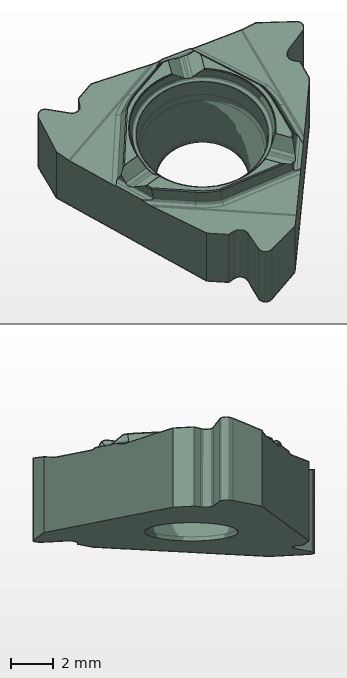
import cadquery as cq
import math

CORNER_ANGLES = (0, 120, 240)
REACH = 9.48

side_distance = 4.77
leading_flank_distance = 6.65
trailing_flank_distance = 0.61
trailing_flank_facing = 30
leading_flank_facing = 180 - trailing_flank_facing
tip_radius = 0.37
shoulder_height = 5.89
notch_radius = 0.42
notch_center_height = 5.95
notch_exit_angle = -45.0
shoulder_radius = 0.1

total_height = 4.1
floor_height = 3.51
crease_distance = 4.3
land_slope = 10.4
crease_radius = 0.37

edge_break = 0.04
wall_draft = 30.0
wall_foot_radius = 0.3
long_wall_distance = 3.72
skew_wall_distance = 3.6
skew_wall_turn = 32.0
end_wall_distance = 4.28
end_wall_turn = 90.0
end_wall_draft = 20.0
end_wall_foot_radius = 0.18
end_wall_floor_height = 3.59

groove_angle = 166.0
groove_floor_height = 3.63
groove_top_half_width = 0.79
groove_bottom_half_width = 0.14
groove_root_radius = 0.27
groove_start = 2.57

hole_radius = 2.2
recess_bottom_radius = 3.03
recess_bottom_height = 2.63
recess_top_radius = 3.1
seat_blend_radius = 0.54
seat_radius = 3.38
ledge_height = 3.55
ledge_fillet = 0.18
rim_root_radius = 3.32
rim_top_radius = 3.43


def polar(radius, angle, center=(0, 0)):
    """Point at a radius and an angle in degrees from a center."""
    turn = math.radians(angle)
    return (center[0] + radius * math.cos(turn), center[1] + radius * math.sin(turn))


def rotated(point, angle):
    """Point turned about the axis."""
    return polar(math.hypot(*point), math.degrees(math.atan2(point[1], point[0])) + angle)


def spin(shape, angle=0):
    """Three copies of a shape about Z, the first one turned by an angle."""
    copies = [shape.rotate((0, 0, 0), (0, 0, 1), angle + corner) for corner in CORNER_ANGLES]
    return copies[0].union(copies[1]).union(copies[2])


def corner_path():
    """Start point, then lines and arcs around one corner, clockwise."""
    flank_cos = math.cos(math.radians(trailing_flank_facing))
    flank_sin = math.sin(math.radians(trailing_flank_facing))

    flank_start = (-side_distance, (leading_flank_distance - side_distance * flank_cos) / flank_sin)
    apex_x = (trailing_flank_distance - leading_flank_distance) / (2 * flank_cos)
    apex_y = (trailing_flank_distance + leading_flank_distance) / (2 * flank_sin)
    tip_center = (apex_x, apex_y - tip_radius / flank_sin)

    notch_x = (trailing_flank_distance + notch_radius - notch_center_height * flank_sin) / flank_cos
    notch_center = (notch_x, notch_center_height)
    notch_start_angle = trailing_flank_facing - 180
    notch_mid_angle = (notch_start_angle + notch_exit_angle) / 2
    notch_exit = polar(notch_radius, notch_exit_angle, notch_center)

    exit_slope = 90 + notch_exit_angle
    shoulder_x = notch_exit[0] + (shoulder_height - notch_exit[1]) / math.tan(math.radians(exit_slope))
    tangent = shoulder_radius * math.tan(math.radians(exit_slope / 2))
    round_center = (shoulder_x + tangent, shoulder_height - shoulder_radius)
    shoulder_end_x = (side_distance - shoulder_height * flank_cos) / flank_sin

    return flank_start, [
        ("line", polar(tip_radius, leading_flank_facing, tip_center)),
        ("arc", polar(tip_radius, 90, tip_center),
         polar(tip_radius, trailing_flank_facing, tip_center)),
        ("line", polar(notch_radius, notch_start_angle, notch_center)),
        ("arc", polar(notch_radius, notch_mid_angle, notch_center), notch_exit),
        ("line", polar(shoulder_radius, 90 + exit_slope, round_center)),
        ("arc", polar(shoulder_radius, 90 + exit_slope / 2, round_center),
         (round_center[0], shoulder_height)),
        ("line", (shoulder_end_x, shoulder_height)),
    ]


def insert_blank():
    """Full outline raised to the total height."""
    start, steps = corner_path()
    outline = cq.Workplane("XY").moveTo(*start)
    for angle in (0, -120, -240):
        if angle:
            outline = outline.lineTo(*rotated(start, angle))
        for kind, *points in steps:
            turned = [rotated(point, angle) for point in points]
            if kind == "line":
                outline = outline.lineTo(*turned[0])
            else:
                outline = outline.threePointArc(*turned)
    return outline.close().extrude(total_height)


def land_below():
    """Block that ends at the flat land and rises toward the +Y corner past the crease."""
    rise = (REACH - crease_distance) * math.tan(math.radians(land_slope))
    return (
        cq.Workplane("YZ", origin=(-REACH, 0, 0))
        .moveTo(-REACH, 0)
        .lineTo(REACH, 0)
        .lineTo(REACH, floor_height + rise)
        .lineTo(crease_distance, floor_height)
        .lineTo(-REACH, floor_height)
        .close()
        .extrude(2 * REACH)
        .edges(cq.selectors.NearestToPointSelector((0, crease_distance, floor_height)))
        .fillet(crease_radius)
    )


def wall_section(plane, top_distance, draft, foot_radius, floor):
    """Section of the space outside a hub wall: broken edge, drafted wall, rounded foot."""
    lean = 90 - draft
    draft_run = math.tan(math.radians(draft))
    foot = top_distance + (total_height - floor) * draft_run
    foot_center = (foot + foot_radius * math.tan(math.radians(lean / 2)), floor + foot_radius)
    return (
        plane.moveTo(top_distance - edge_break, total_height)
        .lineTo(top_distance + edge_break * draft_run, total_height - edge_break)
        .lineTo(*polar(foot_radius, 270 - lean, foot_center))
        .threePointArc(polar(foot_radius, 270 - lean / 2, foot_center), (foot_center[0], floor))
        .lineTo(REACH, floor)
        .lineTo(REACH, total_height)
        .close()
    )


def outside_straight_wall(top_distance, start_x, draft=wall_draft,
                          foot_radius=wall_foot_radius, floor=floor_height):
    """Space outside a straight hub wall that faces +Y, from start_x toward +X."""
    plane = cq.Workplane("YZ", origin=(start_x, 0, 0))
    section = wall_section(plane, top_distance, draft, foot_radius, floor)
    return section.extrude(REACH - start_x)


def outside_round_wall():
    """Space outside the conical corner that joins a long wall to a skew wall."""
    section = wall_section(
        cq.Workplane("XZ"), long_wall_distance, wall_draft, wall_foot_radius, floor_height)
    cone = section.revolve(skew_wall_turn, (0, 0, 0), (0, -1, 0))
    return cone.rotate((0, 0, 0), (0, 0, 1), 90 + skew_wall_turn)


def hub_grooves():
    """V grooves with rounded roots, running outward through the hub."""
    groove = (
        cq.Workplane("YZ", origin=(groove_start, 0, 0))
        .moveTo(-groove_top_half_width, total_height)
        .lineTo(-groove_bottom_half_width, groove_floor_height)
        .lineTo(groove_bottom_half_width, groove_floor_height)
        .lineTo(groove_top_half_width, total_height)
        .close()
        .extrude(REACH - groove_start)
        .faces("<Z")
        .edges("|X")
        .fillet(groove_root_radius)
    )
    return spin(groove, groove_angle)


def screw_hole():
    """Turned hole: rim, ledge, tapered recess and a rounded seat that narrows to the bore."""
    center_distance = seat_radius + seat_blend_radius
    seat_turn = math.degrees(
        math.acos(1 - (recess_bottom_radius - hole_radius) / center_distance))
    blend_center = (recess_bottom_radius - seat_blend_radius, recess_bottom_height)
    seat_center = polar(center_distance, -seat_turn, blend_center)
    ledge_center = (rim_root_radius - ledge_fillet, ledge_height + ledge_fillet)
    return (
        cq.Workplane("XZ")
        .lineTo(hole_radius, 0)
        .lineTo(hole_radius, seat_center[1])
        .threePointArc(polar(seat_radius, 180 - seat_turn / 2, seat_center),
                       polar(seat_radius, 180 - seat_turn, seat_center))
        .threePointArc(polar(seat_blend_radius, -seat_turn / 2, blend_center),
                       (recess_bottom_radius, recess_bottom_height))
        .lineTo(recess_top_radius, ledge_height)
        .lineTo(ledge_center[0], ledge_height)
        .threePointArc(polar(ledge_fillet, -45, ledge_center),
                       (rim_root_radius, ledge_center[1]))
        .lineTo(rim_top_radius, total_height - edge_break)
        .lineTo(rim_top_radius + edge_break, total_height)
        .lineTo(0, total_height)
        .close()
        .revolve(360, (0, 0, 0), (0, 1, 0))
    )


blank = insert_blank()

body = blank.intersect(spin(land_below()))

hub = blank.cut(spin(outside_straight_wall(long_wall_distance, 0)))
hub = hub.cut(spin(outside_round_wall()))
hub = hub.cut(spin(outside_straight_wall(skew_wall_distance, -REACH), skew_wall_turn))
end_space = outside_straight_wall(
    end_wall_distance, -REACH, end_wall_draft, end_wall_foot_radius, end_wall_floor_height)
hub = hub.cut(spin(end_space, end_wall_turn))
hub = hub.cut(hub_grooves())

result = body.union(hub).cut(screw_hole())